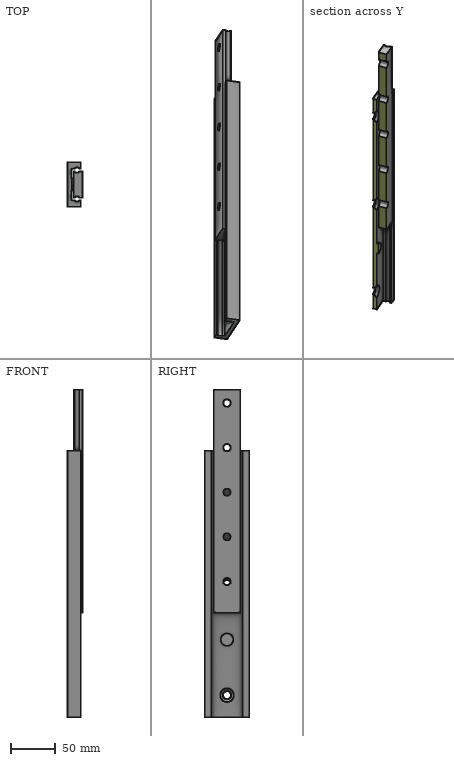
import cadquery as cq
import math

total_length = 368.5
total_depth = 17.0

channel_length = 300.0
channel_width = 50.0
channel_depth = 15.0
back_thickness = 4.8
cavity_width = 35.0
channel_hole_diameter = 9.0
channel_hole_end_distance = 25.0
hole_land = 1.5
countersink_angle = 90.0

boss_diameter = 14.0

slider_length = 250.5
slider_width = 30.0
slider_depth = 10.0
slider_back = total_depth - slider_depth
slider_bottom = total_length - slider_length
slider_hole_diameter = 8.0
slider_hole_top_distance = 15.0
slider_hole_pitch = 50.0
slider_hole_count = 5

race_radius = 3.0
race_x = 10.7
race_y = (cavity_width + slider_width) / 4

channel_hole_heights = [
    channel_hole_end_distance,
    channel_length / 2,
    channel_length - channel_hole_end_distance,
]
boss_height = (channel_hole_heights[0] + channel_hole_heights[1]) / 2
slider_hole_heights = [
    total_length - slider_hole_top_distance - i * slider_hole_pitch
    for i in range(slider_hole_count)
]


def block(x_start, depth, width, z_start, length):
    """Box centred across Y, starting at the given X and Z."""
    return (
        cq.Workplane("XY")
        .box(depth, width, length, centered=(False, True, False))
        .translate((x_start, 0, z_start))
    )


def cross_cylinders(diameter, heights, x_start, x_end):
    """Cylinders along X on the centre line, one at each height."""
    return (
        cq.Workplane("YZ", origin=(x_start, 0, 0))
        .pushPoints([(0, z) for z in heights])
        .circle(diameter / 2)
        .extrude(x_end - x_start)
    )


def ball_races():
    """Two full-height cylinders that cut the facing grooves."""
    return (
        cq.Workplane("XY")
        .pushPoints([(race_x, race_y), (race_x, -race_y)])
        .circle(race_radius)
        .extrude(total_length)
    )


def countersinks():
    """Cones that widen each channel hole from its short land to the inner face of the back."""
    cone_depth = back_thickness - hole_land
    hole_radius = channel_hole_diameter / 2
    mouth_radius = hole_radius + cone_depth * math.tan(math.radians(countersink_angle / 2))
    return [
        cq.Solid.makeCone(
            hole_radius,
            mouth_radius,
            cone_depth,
            pnt=cq.Vector(hole_land, 0, z),
            dir=cq.Vector(1, 0, 0),
        )
        for z in channel_hole_heights
    ]


def make_channel():
    """C-shaped channel with countersunk mounting holes and a stop boss."""
    outer = block(0, channel_depth, channel_width, 0, channel_length)
    cavity_depth = channel_depth - back_thickness
    cavity = block(back_thickness, cavity_depth, cavity_width, 0, channel_length)
    body = outer.cut(cavity).cut(ball_races())

    holes = cross_cylinders(channel_hole_diameter, channel_hole_heights, 0, back_thickness)
    body = body.cut(holes)
    for countersink in countersinks():
        body = body.cut(cq.Workplane(countersink))

    boss = cross_cylinders(boss_diameter, [boss_height], back_thickness, slider_back)
    return body.union(boss)


def make_slider():
    """Grooved bar with a row of through holes."""
    bar = block(slider_back, slider_depth, slider_width, slider_bottom, slider_length)
    holes = cross_cylinders(slider_hole_diameter, slider_hole_heights, slider_back, total_depth)
    return bar.cut(ball_races()).cut(holes)


channel = make_channel()
slider = make_slider()

result = cq.Compound.makeCompound([*channel.solids().vals(), *slider.solids().vals()])